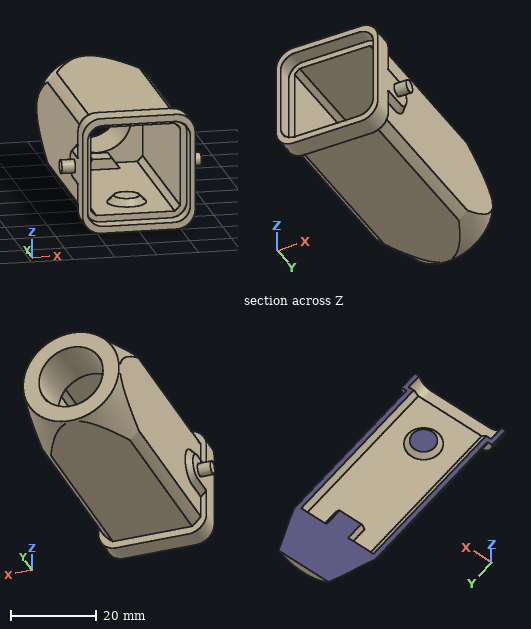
import cadquery as cq
import math

total_length = 60.0

flange_width = 27.0
flange_height = 28.0
flange_length = 5.3
flange_corner_radius = 4.5
mouth_size = 24.6
mouth_depth = 4.0
mouth_corner_radius = 3.9

body_size = 24.2
body_corner_setback = 2.2
nose_length = 13.0
nose_end_diameter = 24.0
wall = 1.4
bore_diameter = 16.0

peg_span = 33.4
peg_diameter = 3.2
peg_position = 9.75
pad_width = 9.0
pad_centre = 11.3
pad_bevel_angle = 45

boss_position = 14.1
boss_base_radius = 4.6
boss_height = 1.6
rib_base_width = 8.4
rib_top_width = 4.7
rib_height = 2.55
rib_length = 5.0

half_body = body_size / 2
corner_radius = math.hypot(half_body, half_body - body_corner_setback)
cavity_size = body_size - 2 * wall
floor_z = -cavity_size / 2
cavity_end = total_length - nose_length


def section(y):
    """Sketch plane across the hood at distance y from the mouth: sketch y is Z, extrusion goes +Y."""
    return cq.Workplane(cq.Plane(origin=(0, y, 0), xDir=(-1, 0, 0), normal=(0, 1, 0)))


def rounded_block(width, height, radius, length):
    """Block with rounded long corners, starting at the mouth face."""
    block = section(0).rect(width, height).extrude(length)
    return block.edges("|Y").fillet(radius)


def turned_square(size, radius, length):
    """Square bar with its four corners turned down to the given radius."""
    square = section(0).rect(size, size).extrude(length)
    envelope = section(0).circle(radius).extrude(length)
    return square.intersect(envelope)


def body():
    """Square bar with turned corners and a nose tapering to a round end."""
    bar = turned_square(body_size, corner_radius, total_length)
    envelope = (
        cq.Workplane("XY")
        .moveTo(0, 0)
        .lineTo(corner_radius, 0)
        .lineTo(corner_radius, cavity_end)
        .lineTo(nose_end_diameter / 2, total_length)
        .lineTo(0, total_length)
        .close()
        .revolve(360, (0, 0, 0), (0, 1, 0))
    )
    return bar.intersect(envelope)


def pad(side):
    """Bevelled round-ended pad and its peg on one side of the body (side is +1 or -1)."""
    raised = flange_width / 2 - half_body
    plane = cq.Plane(origin=(side * half_body, 0, 0), xDir=(0, 1, 0), normal=(side, 0, 0))
    end_radius = pad_width / 2
    foot = (
        cq.Workplane(plane)
        .moveTo(0, -end_radius)
        .lineTo(pad_centre, -end_radius)
        .threePointArc((pad_centre + end_radius, 0), (pad_centre, end_radius))
        .lineTo(0, end_radius)
        .close()
        .extrude(raised, taper=pad_bevel_angle)
    )
    peg = (
        cq.Workplane(plane)
        .center(peg_position, 0)
        .circle(peg_diameter / 2)
        .extrude(peg_span / 2 - half_body)
    )
    return foot.union(peg)


def hollow():
    """Mouth recess, main cavity and cable bore as one cutting body."""
    recess = rounded_block(mouth_size, mouth_size, mouth_corner_radius, mouth_depth)
    cavity = turned_square(cavity_size, corner_radius - wall, cavity_end)
    bore = section(0).circle(bore_diameter / 2).extrude(total_length)
    return recess.union(cavity).union(bore)


def boss():
    """45 degree conical boss standing on the cavity floor."""
    root = wall / 2
    cone = cq.Solid.makeCone(
        boss_base_radius + root,
        boss_base_radius - boss_height,
        boss_height + root,
        pnt=cq.Vector(0, boss_position, floor_z - root),
    )
    return cq.Workplane(cone)


def rib():
    """Trapezoidal rib on the floor, with sloping flanks, against the end wall."""
    return (
        section(cavity_end - rib_length)
        .moveTo(-rib_base_width / 2, floor_z)
        .lineTo(rib_base_width / 2, floor_z)
        .lineTo(rib_top_width / 2, floor_z + rib_height)
        .lineTo(-rib_top_width / 2, floor_z + rib_height)
        .close()
        .extrude(rib_length)
    )


result = body().union(rounded_block(flange_width, flange_height, flange_corner_radius, flange_length))
for side in (-1, 1):
    result = result.union(pad(side))
result = result.cut(hollow()).union(boss()).union(rib())